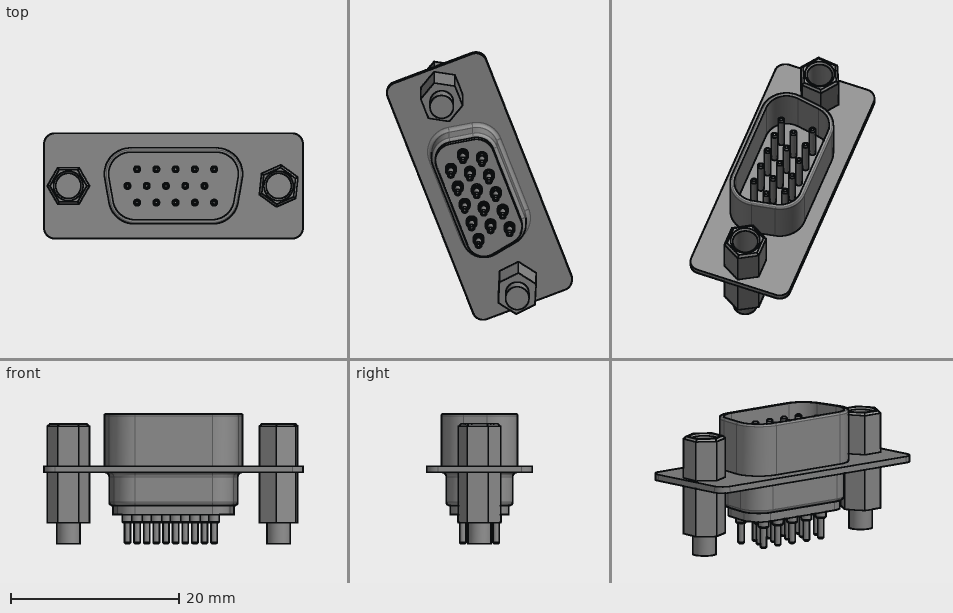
import cadquery as cq
import math

PLATE_LENGTH = 30.81
PLATE_WIDTH = 12.55
PLATE_THICKNESS = 0.76
PLATE_CORNER_RADIUS = 1.3
PLATE_BOTTOM = -PLATE_THICKNESS

D_LENGTH = 16.45
D_WIDTH = 9.05
D_CORNER_RADIUS = 3.12
D_SIDE_ANGLE = math.radians(10)

SHELL_HEIGHT = 6.2
SHELL_WALL = 0.51
SHELL_RIM_RADIUS = 0.2

BACK_INSET = 0.56
BACK_DEPTH = 3.95
BACK_FLARE_RADIUS = 0.5
BACK_EDGE_RADIUS = 0.45

INSULATOR_INSET = 1.02
INSULATOR_DEPTH = 5.0
INSULATOR_BOTTOM = PLATE_BOTTOM - INSULATOR_DEPTH

PIN_DIAMETER = 0.76
PIN_TOP = 5.2
PIN_TAIL_DEPTH = 8.5
PIN_TIP_CHAMFER = 0.19
PIN_BOSS_DIAMETER = 1.27
PIN_BOSS_HEIGHT = 1.0
PIN_BOSS_CHAMFER = 0.16
PIN_PITCH = 2.29
PINS_PER_ROW = 5
ROW_SPACING = 1.98
OUTER_ROW_CENTRE_X = 0.25
MIDDLE_ROW_CENTRE_X = OUTER_ROW_CENTRE_X - PIN_PITCH / 2

SCREW_SPACING = 25.0
HEX_ACROSS_FLATS = 4.36
HEX_ACROSS_CORNERS = HEX_ACROSS_FLATS / math.cos(math.radians(30))
HEX_TOP = 5.0
HEX_CHAMFER = 0.28
HEX_DEPTH = 6.0
STUD_DIAMETER = 2.79
STUD_LENGTH = 2.5
SCREW_HOLE_DIAMETER = 3.0
SCREW_HOLE_DEPTH = 5.0
SCREW_HOLE_CHAMFER = 0.25
LEFT_SCREW_ANGLE = 0
RIGHT_SCREW_ANGLE = 24


def d_prism(inset, bottom, top):
    """Prism between two heights whose section is the D outline moved inward by inset."""
    radius = D_CORNER_RADIUS - inset
    wide_x = D_LENGTH / 2 - D_CORNER_RADIUS
    centre_y = D_WIDTH / 2 - D_CORNER_RADIUS
    narrow_x = wide_x - 2 * centre_y * math.tan(D_SIDE_ANGLE)

    def corner_point(centre_x, corner_y, angle):
        return (centre_x + radius * math.cos(angle), corner_y + radius * math.sin(angle))

    def mirrored(point):
        return (-point[0], point[1])

    right_angle = math.pi / 2
    wide_start = corner_point(wide_x, centre_y, -D_SIDE_ANGLE)
    wide_middle = corner_point(wide_x, centre_y, (right_angle - D_SIDE_ANGLE) / 2)
    wide_end = corner_point(wide_x, centre_y, right_angle)
    narrow_start = corner_point(narrow_x, -centre_y, -right_angle)
    narrow_middle = corner_point(narrow_x, -centre_y, -(right_angle + D_SIDE_ANGLE) / 2)
    narrow_end = corner_point(narrow_x, -centre_y, -D_SIDE_ANGLE)
    return (
        cq.Workplane("XY", origin=(0, 0, bottom))
        .moveTo(*narrow_start)
        .threePointArc(narrow_middle, narrow_end)
        .lineTo(*wide_start)
        .threePointArc(wide_middle, wide_end)
        .lineTo(*mirrored(wide_end))
        .threePointArc(mirrored(wide_middle), mirrored(wide_start))
        .lineTo(*mirrored(narrow_end))
        .threePointArc(mirrored(narrow_middle), mirrored(narrow_start))
        .close()
        .extrude(top - bottom)
    )


def cylinder(diameter, bottom, top):
    """Upright cylinder on the Z axis between two heights."""
    return cq.Workplane("XY", origin=(0, 0, bottom)).circle(diameter / 2).extrude(top - bottom)


def make_jackscrew(angle):
    """Hexagonal post with a stud below, turned about Z by angle in degrees."""
    hex_bottom = PLATE_BOTTOM - HEX_DEPTH
    post = (
        cq.Workplane("XY", origin=(0, 0, hex_bottom))
        .polygon(6, HEX_ACROSS_CORNERS)
        .extrude(HEX_TOP - hex_bottom)
        .faces(">Z")
        .chamfer(HEX_CHAMFER)
    )
    stud = cylinder(STUD_DIAMETER, hex_bottom - STUD_LENGTH, hex_bottom)
    return post.union(stud).rotate((0, 0, 0), (0, 0, 1), angle)


def make_screw_hole():
    """Cutter for the blind hole and its lead-in chamfer in the top of a jackscrew."""
    hole = cylinder(SCREW_HOLE_DIAMETER, HEX_TOP - SCREW_HOLE_DEPTH, HEX_TOP)
    hole_radius = SCREW_HOLE_DIAMETER / 2
    lead_in = cq.Solid.makeCone(
        hole_radius,
        hole_radius + SCREW_HOLE_CHAMFER,
        SCREW_HOLE_CHAMFER,
        cq.Vector(0, 0, HEX_TOP - SCREW_HOLE_CHAMFER),
    )
    return hole.union(cq.Workplane(lead_in))


def make_shell():
    """Metal shell: plate, front shell, back shell and both jackscrews."""
    plate = (
        cq.Workplane("XY", origin=(0, 0, PLATE_BOTTOM))
        .rect(PLATE_LENGTH, PLATE_WIDTH)
        .extrude(PLATE_THICKNESS)
        .edges("|Z")
        .fillet(PLATE_CORNER_RADIUS)
    )
    back = d_prism(BACK_INSET, PLATE_BOTTOM - BACK_DEPTH, PLATE_BOTTOM)
    back = back.faces("<Z").edges().fillet(BACK_EDGE_RADIUS)
    shell = plate.union(back)
    back_root = cq.selectors.BoxSelector(
        (-D_LENGTH / 2, -D_WIDTH / 2, PLATE_BOTTOM - PLATE_THICKNESS / 2),
        (D_LENGTH / 2, D_WIDTH / 2, PLATE_BOTTOM + PLATE_THICKNESS / 2),
    )
    shell = shell.edges(back_root).fillet(BACK_FLARE_RADIUS)
    front = d_prism(0, 0, SHELL_HEIGHT).faces(">Z").edges().fillet(SHELL_RIM_RADIUS)
    shell = shell.union(front)
    shell = shell.cut(d_prism(SHELL_WALL, PLATE_BOTTOM, SHELL_HEIGHT))
    shell = shell.cut(d_prism(INSULATOR_INSET, PLATE_BOTTOM - BACK_DEPTH, PLATE_BOTTOM))

    for side, angle in ((-1, LEFT_SCREW_ANGLE), (1, RIGHT_SCREW_ANGLE)):
        position = (side * SCREW_SPACING / 2, 0, 0)
        shell = shell.union(make_jackscrew(angle).translate(position))
        shell = shell.cut(make_screw_hole().translate(position))
    return shell


def make_pin():
    """Contact pin on the Z axis with the boss around its tail."""
    pin = cylinder(PIN_DIAMETER, PLATE_BOTTOM - PIN_TAIL_DEPTH, PIN_TOP)
    pin = pin.faces("<Z or >Z").chamfer(PIN_TIP_CHAMFER)
    boss = cylinder(PIN_BOSS_DIAMETER, INSULATOR_BOTTOM - PIN_BOSS_HEIGHT, INSULATOR_BOTTOM)
    return pin.union(boss.faces("<Z").chamfer(PIN_BOSS_CHAMFER))


def make_insulator():
    """Insulator with a top flange in the plate, carrying all the contact pins."""
    insulator = d_prism(SHELL_WALL, PLATE_BOTTOM, 0)
    insulator = insulator.union(d_prism(INSULATOR_INSET, INSULATOR_BOTTOM, PLATE_BOTTOM))
    pin = make_pin()
    for row in (-1, 0, 1):
        row_centre_x = MIDDLE_ROW_CENTRE_X if row == 0 else OUTER_ROW_CENTRE_X
        for column in range(PINS_PER_ROW):
            pin_x = row_centre_x + (column - (PINS_PER_ROW - 1) / 2) * PIN_PITCH
            insulator = insulator.union(pin.translate((pin_x, row * ROW_SPACING, 0)))
    return insulator


shell = make_shell()
insulator = make_insulator()
result = cq.Compound.makeCompound([shell.val(), insulator.val()])